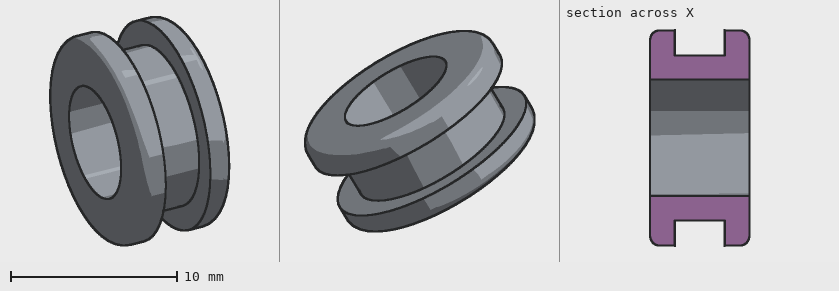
import cadquery as cq

flange_diameter = 13.0
hub_diameter = 10.0
bore_diameter = 7.0
total_width = 6.0
groove_width = 3.0
edge_radius = 0.6


def cylinder_along_y(diameter, width):
    """Solid cylinder on the Y axis, centred on the origin."""
    return cq.Workplane("XZ", origin=(0, width / 2, 0)).circle(diameter / 2).extrude(width)


body = cylinder_along_y(flange_diameter, total_width).edges("%CIRCLE").fillet(edge_radius)

groove = cylinder_along_y(flange_diameter, groove_width).cut(
    cylinder_along_y(hub_diameter, groove_width)
)

bore = cylinder_along_y(bore_diameter, total_width)

result = body.cut(groove).cut(bore)